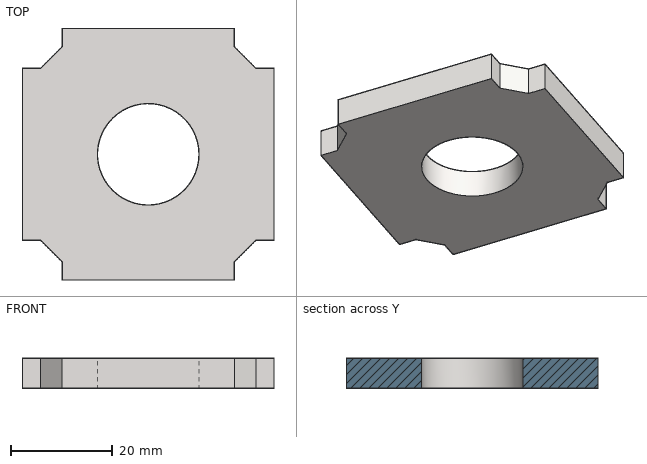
import cadquery as cq

side = 49.8
thickness = 6.0
bore_diameter = 20.0

notch_size = 7.85
notch_wall = 3.65


def corner_notch(x_sign, y_sign):
    """Solid removed from the plate corner lying in the given quadrant."""
    outer = side / 2
    inner = outer - notch_size
    wall_end = outer - notch_wall
    outline = [
        (outer, outer),
        (inner, outer),
        (inner, wall_end),
        (wall_end, inner),
        (outer, inner),
    ]
    points = [(x_sign * x, y_sign * y) for x, y in outline]
    return cq.Workplane("XY").polyline(points).close().extrude(thickness)


plate = cq.Workplane("XY").rect(side, side).extrude(thickness)
bore = cq.Workplane("XY").circle(bore_diameter / 2).extrude(thickness)

result = plate.cut(bore)
for x_sign in (-1, 1):
    for y_sign in (-1, 1):
        result = result.cut(corner_notch(x_sign, y_sign))